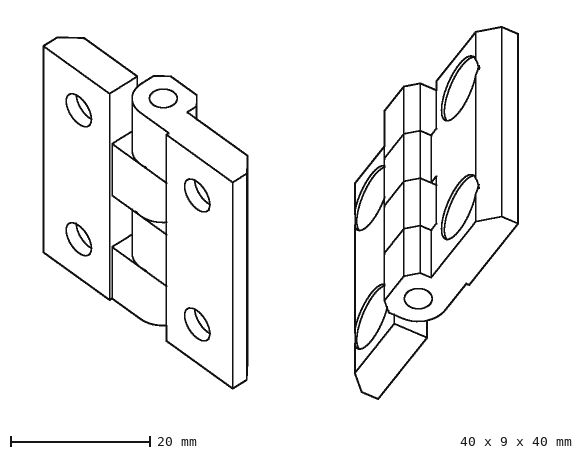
import cadquery as cq

hinge_width = 40.0
hinge_height = 40.0
hinge_depth = 9.0
half_width = hinge_width / 2

leaf_width = 14.0
leaf_thickness = 5.5
leaf_bevel = 2.7
inner_edge = half_width - leaf_width

knuckle_count = 4
knuckle_height = hinge_height / knuckle_count
knuckle_radius = hinge_depth / 2
knuckle_chamfer = 1.7
front_recess = 0.5

pin_diameter = 4.0
pin_y = front_recess + knuckle_radius

hole_spacing = 25.0
hole_diameter = 5.3
head_diameter = 10.05
hole_land = 2.0
countersink_depth = 3.0


def make_plate():
    """Plate on the +X side, beveled along its outer back edge."""
    return (
        cq.Workplane("XY")
        .moveTo(inner_edge, 0)
        .lineTo(half_width, 0)
        .lineTo(half_width, leaf_thickness - leaf_bevel)
        .lineTo(half_width - leaf_bevel, leaf_thickness)
        .lineTo(inner_edge, leaf_thickness)
        .close()
        .extrude(hinge_height)
    )


def make_knuckle(level):
    """Knuckle with its web to the +X plate; level 0 is the lowest."""
    return (
        cq.Workplane("XY", origin=(0, 0, level * knuckle_height))
        .moveTo(0, front_recess)
        .lineTo(inner_edge, front_recess)
        .lineTo(inner_edge, leaf_thickness)
        .lineTo(knuckle_radius, leaf_thickness)
        .lineTo(knuckle_radius, hinge_depth - knuckle_chamfer)
        .lineTo(knuckle_radius - knuckle_chamfer, hinge_depth)
        .lineTo(knuckle_chamfer - knuckle_radius, hinge_depth)
        .lineTo(-knuckle_radius, hinge_depth - knuckle_chamfer)
        .lineTo(-knuckle_radius, pin_y)
        .radiusArc((0, front_recess), -knuckle_radius)
        .close()
        .extrude(knuckle_height)
    )


def make_pin():
    """Plain pin running the full height of the hinge."""
    return cq.Workplane("XY").center(0, pin_y).circle(pin_diameter / 2).extrude(hinge_height)


def make_screw_cutter():
    """Stepped cutter along +Y: straight hole, cone, then head recess."""
    cone_end = hole_land + countersink_depth
    return (
        cq.Workplane("XY")
        .lineTo(hole_diameter / 2, 0)
        .lineTo(hole_diameter / 2, hole_land)
        .lineTo(head_diameter / 2, cone_end)
        .lineTo(head_diameter / 2, leaf_thickness)
        .lineTo(0, leaf_thickness)
        .close()
        .revolve(360, (0, 0, 0), (0, 1, 0))
    )


def drill_screw_holes(leaf):
    """Two through holes, countersunk from the back face of the plate."""
    half_spacing = hole_spacing / 2
    for offset in (-half_spacing, half_spacing):
        leaf = leaf.cut(make_screw_cutter().translate((half_spacing, 0, hinge_height / 2 + offset)))
    return leaf


def make_leaf(levels):
    """Leaf on the +X side with knuckles at the given levels."""
    leaf = make_plate()
    for level in levels:
        leaf = leaf.union(make_knuckle(level))
    return drill_screw_holes(leaf).cut(make_pin())


pin = make_pin()
right_leaf = make_leaf(range(1, knuckle_count, 2))
left_leaf = make_leaf(range(0, knuckle_count, 2)).mirror("YZ")

result = cq.Compound.makeCompound([left_leaf.val(), right_leaf.val(), pin.val()])